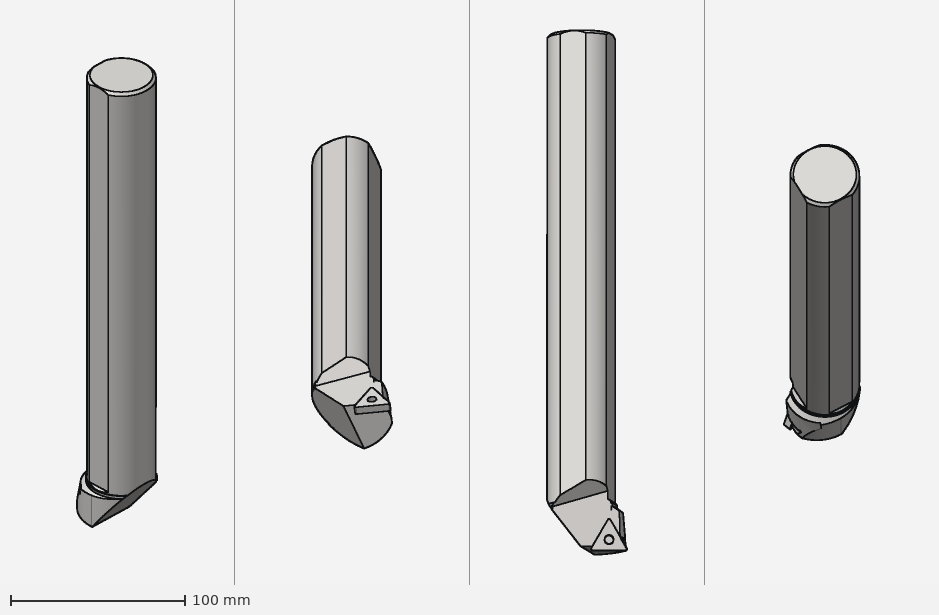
import cadquery as cq
import math

TOTAL_LENGTH = 301.2
SHANK_RADIUS = 20.0
SIDE_FLAT = 17.5
FACE_FLAT = 18.5
FLAT_START = 27.0
TOP_CHAMFER = 1.8

HEAD_BOTTOM = 2.5
HEAD_TOP = 25.3
NECK_RADIUS = 20.5
NECK_TOP = FLAT_START
HEAD_CENTER_X = -2.5
HEAD_FRONT = -22.3
HEAD_LARGE_RADIUS = 27.5
HEAD_SMALL_RADIUS = 22.3
SHOULDER_DROP = 0.8
SHOULDER_RADIUS = 33.0

RELIEF_RADIUS = 22.0
RELIEF_TOP_X, RELIEF_TOP_Y = -1.8, 0.3
RELIEF_SHIFT_X, RELIEF_SHIFT_Y = -0.5, -5.0
RELIEF_END_X = -14.0

BACK_BOTTOM_X = -1.5
BACK_TOP_Z = 32.0

NOTCH_BOTTOM_X = -24.0
NOTCH_TOP_X = -22.5
NOTCH_TOP = 7.8

TIP_X = -27.7
RAKE_PER_X = 0.3
RAKE_PER_Z = 0.11
INSERT_INSCRIBED = 12.7
INSERT_THICKNESS = 4.8
NOSE_RADIUS = 1.0
INSERT_HOLE = 5.0

RUNOUT_Z = 34.0
RUNOUT_NORMAL = cq.Vector(-0.53, 0.87, -1)

BIG = 180.8

RAKE_PLANE = cq.Plane(
    origin=(TIP_X, 0, 0),
    xDir=(1, RAKE_PER_X, 0),
    normal=(-RAKE_PER_X, 1, -RAKE_PER_Z),
)


def make_shank():
    height = TOTAL_LENGTH - HEAD_BOTTOM
    shank = cq.Workplane().workplane(offset=HEAD_BOTTOM).circle(SHANK_RADIUS).extrude(height)
    shank = shank.faces(">Z").chamfer(TOP_CHAMFER)
    for angle, distance in ((0, SIDE_FLAT), (90, FACE_FLAT), (-90, FACE_FLAT)):
        shank = shank.cut(flat_cutter(distance).rotate((0, 0, 0), (0, 0, 1), angle))
    return shank


def flat_cutter(distance):
    """Block that mills a flat on -X, ending below in a 45 degree ramp."""
    ramp_reach = 2 * SHANK_RADIUS
    outline = [
        (-distance, TOTAL_LENGTH),
        (-distance, FLAT_START + SHANK_RADIUS - distance),
        (-ramp_reach, FLAT_START + SHANK_RADIUS - ramp_reach),
        (-ramp_reach, TOTAL_LENGTH),
    ]
    return cq.Workplane("XZ").polyline(outline).close().extrude(SHANK_RADIUS, both=True)


def make_neck():
    return cq.Workplane().workplane(offset=HEAD_TOP).circle(NECK_RADIUS).extrude(NECK_TOP - HEAD_TOP)


def make_head():
    left_center_y = HEAD_FRONT + HEAD_LARGE_RADIUS
    right_center_y = HEAD_FRONT + HEAD_SMALL_RADIUS
    diagonal = math.sqrt(0.5)
    head = (
        cq.Workplane()
        .workplane(offset=HEAD_BOTTOM)
        .moveTo(HEAD_CENTER_X - HEAD_LARGE_RADIUS, left_center_y)
        .threePointArc(
            (HEAD_CENTER_X - HEAD_LARGE_RADIUS * diagonal, left_center_y - HEAD_LARGE_RADIUS * diagonal),
            (HEAD_CENTER_X, HEAD_FRONT),
        )
        .threePointArc(
            (HEAD_CENTER_X + HEAD_SMALL_RADIUS * diagonal, right_center_y - HEAD_SMALL_RADIUS * diagonal),
            (HEAD_CENTER_X + HEAD_SMALL_RADIUS, right_center_y),
        )
        .lineTo(HEAD_CENTER_X + HEAD_SMALL_RADIUS, left_center_y)
        .close()
        .extrude(HEAD_TOP - HEAD_BOTTOM)
    )
    return head.cut(relief_cutter()).intersect(shoulder_envelope())


def relief_cutter():
    """Everything left of RELIEF_END_X and outside the oblique relief cylinder."""
    top_circle = cq.Wire.makeCircle(
        RELIEF_RADIUS, cq.Vector(RELIEF_TOP_X, RELIEF_TOP_Y, HEAD_TOP), cq.Vector(0, 0, 1)
    )
    travel = cq.Vector(RELIEF_SHIFT_X, RELIEF_SHIFT_Y, HEAD_BOTTOM - HEAD_TOP)
    kept = cq.Solid.extrudeLinear(top_circle, [], travel)
    block = (
        cq.Workplane()
        .box(BIG, BIG, HEAD_TOP - HEAD_BOTTOM, centered=(False, True, False))
        .translate((RELIEF_END_X - BIG, 0, HEAD_BOTTOM))
    )
    return block.cut(cq.Workplane(kept))


def shoulder_envelope():
    """Cone on the shank axis that slopes the top of the head down from the neck."""
    shoulder_bottom = HEAD_TOP - SHOULDER_DROP * (SHOULDER_RADIUS - NECK_RADIUS)
    outline = [
        (0, HEAD_BOTTOM),
        (SHOULDER_RADIUS, HEAD_BOTTOM),
        (SHOULDER_RADIUS, shoulder_bottom),
        (NECK_RADIUS, HEAD_TOP),
        (0, HEAD_TOP),
    ]
    return cq.Workplane("XZ").polyline(outline).close().revolve(360, (0, 0), (0, 1))


def back_cutter():
    slope = (BACK_TOP_Z - HEAD_BOTTOM) / (SHANK_RADIUS - BACK_BOTTOM_X)
    outline = [
        (BACK_BOTTOM_X, HEAD_BOTTOM),
        (BACK_BOTTOM_X + BIG, HEAD_BOTTOM + slope * BIG),
        (BACK_BOTTOM_X + BIG, HEAD_BOTTOM),
    ]
    return cq.Workplane("XZ").polyline(outline).close().extrude(BIG, both=True)


def chip_pocket_cutter():
    """Space in front of the rake plane and below the runout plane."""
    edge_y = RAKE_PER_X * (-SIDE_FLAT - TIP_X) + RAKE_PER_Z * RUNOUT_Z
    runout = cq.Plane(origin=(-SIDE_FLAT, edge_y, RUNOUT_Z), normal=RUNOUT_NORMAL)
    below_runout = cq.Workplane(runout).rect(BIG, BIG).extrude(BIG)
    return cq.Workplane(RAKE_PLANE).rect(BIG, BIG).extrude(BIG).intersect(below_runout)


def notch_cutter():
    outline = [
        (NOTCH_BOTTOM_X, HEAD_BOTTOM),
        (NOTCH_TOP_X, NOTCH_TOP),
        (NOTCH_TOP_X - BIG, NOTCH_TOP),
        (NOTCH_TOP_X - BIG, HEAD_BOTTOM),
    ]
    return cq.Workplane("XZ").polyline(outline).close().extrude(BIG, both=True)


def make_insert_blank():
    edge = INSERT_INSCRIBED * math.sqrt(3)
    apex_height = 1.5 * INSERT_INSCRIBED
    corners = [(0, 0), (edge, 0), (edge / 2, -apex_height)]
    blank = cq.Workplane(RAKE_PLANE).polyline(corners).close().extrude(-INSERT_THICKNESS)
    side_edges = cq.selectors.ParallelDirSelector(RAKE_PLANE.zDir)
    return blank.edges(side_edges).fillet(NOSE_RADIUS)


def make_insert(blank):
    edge = INSERT_INSCRIBED * math.sqrt(3)
    hole = (
        cq.Workplane(RAKE_PLANE)
        .center(edge / 2, -INSERT_INSCRIBED / 2)
        .circle(INSERT_HOLE / 2)
        .extrude(-INSERT_THICKNESS)
    )
    return blank.cut(hole)


insert_blank = make_insert_blank()
insert = make_insert(insert_blank)

holder = make_shank().union(make_neck()).union(make_head())
holder = holder.cut(back_cutter()).cut(chip_pocket_cutter())
holder = holder.cut(notch_cutter()).cut(insert_blank)

result = cq.Compound.makeCompound([holder.val(), insert.val()])